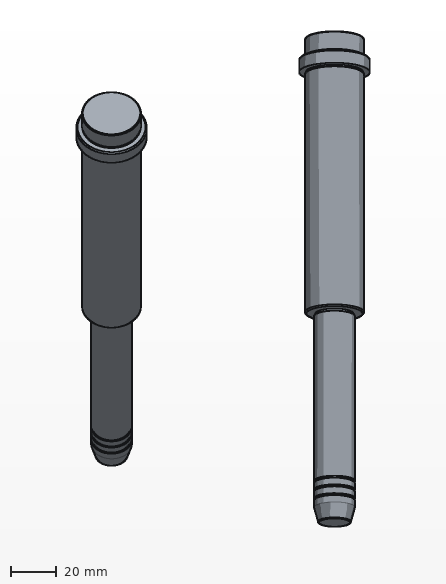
import cadquery as cq

total_length = 220.0
body_diameter = 26.0
pin_diameter = 18.0
tip_diameter = 14.5
flange_diameter = 31.0

body_length = 125.0
flange_thickness = 6.2
flange_offset = 9.0
flange_chamfer = 0.7
top_chamfer = 0.5
body_chamfer = 0.7
relief_width = 0.9
relief_depth = 0.5

neck_depth = 0.7
neck_height = 1.0
tip_length = 7.0
tip_chamfer = 0.5

oil_groove_count = 3
oil_groove_pitch = 4.0
oil_groove_width = 0.9
oil_groove_depth = 0.7
lowest_groove_height = 10.1

body_bottom = total_length - body_length
flange_top = total_length - flange_offset
flange_bottom = flange_top - flange_thickness


def cylinder(diameter, bottom, top):
    """Solid cylinder on the Z axis between two levels."""
    return cq.Workplane("XY").workplane(offset=bottom).circle(diameter / 2).extrude(top - bottom)


def ring_groove(diameter, depth, bottom, width):
    """Ring to cut from a cylinder to leave a shallow groove."""
    outer = cylinder(diameter + 2 * depth, bottom, bottom + width)
    return outer.cut(cylinder(diameter - 2 * depth, bottom, bottom + width))


def make_body():
    """Thick guide body with chamfered end edges and a relief on each side of the flange."""
    body = cylinder(body_diameter, body_bottom, total_length)
    body = body.faces(">Z").chamfer(top_chamfer)
    body = body.faces("<Z").chamfer(body_chamfer)
    for bottom in (flange_top, flange_bottom - relief_width):
        body = body.cut(ring_groove(body_diameter, relief_depth, bottom, relief_width))
    return body


def make_flange():
    """Locating collar with a broken upper edge."""
    return cylinder(flange_diameter, flange_bottom, flange_top).faces(">Z").chamfer(flange_chamfer)


def make_pin():
    """Slim pin with a tapered lead-in tip, oil grooves and a short undercut neck below the body."""
    pin_radius = pin_diameter / 2
    tip_radius = tip_diameter / 2
    neck_radius = pin_radius - neck_depth
    profile = [
        (0, 0),
        (tip_radius - tip_chamfer, 0),
        (tip_radius, tip_chamfer),
        (pin_radius, tip_length),
        (pin_radius, body_bottom - neck_height),
        (neck_radius, body_bottom - neck_height),
        (neck_radius, body_bottom),
        (0, body_bottom),
    ]
    pin = cq.Workplane("XZ").polyline(profile).close().revolve(360, (0, 0), (0, 1))
    for index in range(oil_groove_count):
        bottom = lowest_groove_height + index * oil_groove_pitch
        pin = pin.cut(ring_groove(pin_diameter, oil_groove_depth, bottom, oil_groove_width))
    return pin


result = make_body().union(make_flange()).union(make_pin())